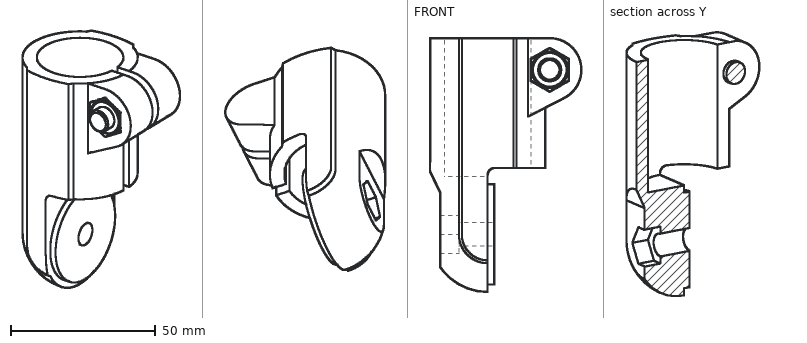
import cadquery as cq
import math

TUBE_RADIUS = 20.0
BORE_RADIUS = 15.0
TUBE_TOP = 68.01
TUBE_BOTTOM = 23.0
BORE_FLOOR = 20.0
STEP_FILLET = 2.5

PAD_HEIGHT = 20.02
PAD_TOP_HALF = 9.0
PAD_CROWN = 1.15
PAD_SHOULDER = PAD_HEIGHT - PAD_CROWN
PAD_FOOT_HALF = 10.0
PAD_FOOT = math.sqrt(TUBE_RADIUS**2 - PAD_FOOT_HALF**2)

DISC_DIAMETER = 34.8
DISC_THICKNESS = 2.3
PIVOT_HOLE_DIAMETER = 8.1

FLAT_X = -16.5
FLAT_TOP = 14.5
FLAT_RAMP_TOP = 21.8

LUG_RADIUS = 11.012
LUG_X = 21.47
LUG_Z = 57.0
LUG_TOP = 68.0
LUG_NOSE_START_X = LUG_X + math.sqrt(LUG_RADIUS**2 - (LUG_TOP - LUG_Z)**2)
LUG_HALF_WIDTH = 14.35
LUG_ROOT_X = math.sqrt(TUBE_RADIUS**2 - LUG_HALF_WIDTH**2)
LUG_ROOT_Z = 40.8
SLOT_WIDTH = 3.3

HEX_POCKET_FLATS = 13.2
HEX_POCKET_DEPTH = 6.5

NUT_FLATS = 13.0
NUT_FACE_DIAMETER = 11.7
NUT_COLLAR_DIAMETER = 12.6
NUT_FACE_CHAMFER = (NUT_COLLAR_DIAMETER - NUT_FACE_DIAMETER) / 2
NUT_COLLAR_HEIGHT = 2.0
NUT_SHOULDER_ANGLE = 20.0
NUT_FACE_Y = -14.45
BOLT_DIAMETER = 8.0
BOLT_TIP_Y = -18.6
BOLT_CHAMFER = 0.6


def hex_corners(flats):
    """Corner-to-corner size of a hexagon given its size across flats."""
    return flats / math.cos(math.pi / 6)


def half_section(side):
    """Half of the tube section on one side of X = 0: a half circle with half a crowned pad at each end."""
    crown_radius = (PAD_TOP_HALF**2 + PAD_CROWN**2) / (2 * PAD_CROWN)
    crown_mid_x = side * PAD_TOP_HALF / 2
    crown_mid_y = PAD_HEIGHT - crown_radius + math.sqrt(crown_radius**2 - crown_mid_x**2)
    top_x = side * PAD_TOP_HALF
    foot_x = side * PAD_FOOT_HALF
    return (
        cq.Workplane("XY")
        .moveTo(0, PAD_HEIGHT)
        .threePointArc((crown_mid_x, crown_mid_y), (top_x, PAD_SHOULDER))
        .lineTo(foot_x, PAD_FOOT)
        .threePointArc((side * TUBE_RADIUS, 0), (foot_x, -PAD_FOOT))
        .lineTo(top_x, -PAD_SHOULDER)
        .threePointArc((crown_mid_x, -crown_mid_y), (0, -PAD_HEIGHT))
        .close()
    )


def outer_body():
    """Both halves of the tube over its full height, closed below by the rounded end."""
    back = half_section(-1).extrude(TUBE_TOP)
    front = half_section(1).extrude(TUBE_TOP)
    end = half_section(-1).revolve(360, (0, 0, 0), (0, 1, 0))
    return back.union(front).union(end)


def front_cutaway():
    """Space removed in front of the joint face, below the lower rim of the tube."""
    reach = 2 * TUBE_RADIUS
    return (
        cq.Workplane("XZ")
        .moveTo(0, -reach)
        .lineTo(reach, -reach)
        .lineTo(reach, TUBE_BOTTOM)
        .lineTo(STEP_FILLET, TUBE_BOTTOM)
        .radiusArc((0, TUBE_BOTTOM - STEP_FILLET), -STEP_FILLET)
        .close()
        .extrude(reach, both=True)
    )


def back_cutaway():
    """Space removed behind the flat, with a ramp running out to the tube surface."""
    reach = 2 * TUBE_RADIUS
    return (
        cq.Workplane("XZ")
        .moveTo(FLAT_X, -reach)
        .lineTo(FLAT_X, FLAT_TOP)
        .lineTo(-TUBE_RADIUS, FLAT_RAMP_TOP)
        .lineTo(-reach, FLAT_RAMP_TOP)
        .lineTo(-reach, -reach)
        .close()
        .extrude(reach, both=True)
    )


def joint_disc():
    """Round disc raised on the joint face."""
    return cq.Workplane("YZ").circle(DISC_DIAMETER / 2).extrude(DISC_THICKNESS)


def pivot_hole():
    """Through hole along X with a hexagonal pocket sunk into the flat."""
    hole = cq.Workplane("YZ").circle(PIVOT_HOLE_DIAMETER / 2).extrude(2 * TUBE_RADIUS, both=True)
    pocket = (
        cq.Workplane("YZ", origin=(FLAT_X, 0, 0))
        .polygon(6, hex_corners(HEX_POCKET_FLATS))
        .extrude(HEX_POCKET_DEPTH)
    )
    return hole.union(pocket)


def clamp_lugs():
    """Both lugs as one block: a round nose with a straight lower edge tangent to it."""
    root_dx = LUG_X - LUG_ROOT_X
    root_dz = LUG_Z - LUG_ROOT_Z
    tangent_angle = math.atan2(-root_dz, -root_dx) + math.acos(LUG_RADIUS / math.hypot(root_dx, root_dz))
    tangent_x = LUG_X + LUG_RADIUS * math.cos(tangent_angle)
    tangent_z = LUG_Z + LUG_RADIUS * math.sin(tangent_angle)
    return (
        cq.Workplane("XZ")
        .moveTo(LUG_ROOT_X, LUG_ROOT_Z)
        .lineTo(tangent_x, tangent_z)
        .threePointArc((LUG_X + LUG_RADIUS, LUG_Z), (LUG_NOSE_START_X, LUG_TOP))
        .lineTo(LUG_ROOT_X, LUG_TOP)
        .close()
        .extrude(LUG_HALF_WIDTH, both=True)
    )


def bore():
    """Blind round bore down the tube."""
    return (
        cq.Workplane("XY", origin=(0, 0, BORE_FLOOR))
        .circle(BORE_RADIUS)
        .extrude(TUBE_TOP - BORE_FLOOR)
    )


def clamp_slot():
    """Slot along X that splits the front of the tube and separates the lugs."""
    length = LUG_X + LUG_RADIUS
    height = TUBE_TOP - TUBE_BOTTOM
    return (
        cq.Workplane("XY", origin=(0, 0, TUBE_BOTTOM))
        .box(length, SLOT_WIDTH, height, centered=(False, True, False))
    )


def hex_prism(flats, front_y, depth):
    """Hexagonal prism on the bolt axis, corners up and down, running toward +Y from front_y."""
    return (
        cq.Workplane("XZ", origin=(LUG_X, front_y, LUG_Z))
        .transformed(rotate=(0, 0, 90))
        .polygon(6, hex_corners(flats))
        .extrude(-depth)
    )


def clamp_nut():
    """Hexagonal nut seated on the pocket floor, with a round collar above a conical shoulder."""
    height = HEX_POCKET_DEPTH - LUG_HALF_WIDTH - NUT_FACE_Y
    face_radius = NUT_FACE_DIAMETER / 2
    collar_radius = NUT_COLLAR_DIAMETER / 2
    corner_radius = hex_corners(NUT_FLATS) / 2
    shoulder_drop = (corner_radius - collar_radius) * math.tan(math.radians(NUT_SHOULDER_ANGLE))
    envelope = (
        cq.Workplane("XY")
        .lineTo(face_radius, 0)
        .lineTo(collar_radius, NUT_FACE_CHAMFER)
        .lineTo(collar_radius, NUT_COLLAR_HEIGHT)
        .lineTo(corner_radius, NUT_COLLAR_HEIGHT + shoulder_drop)
        .lineTo(corner_radius, height)
        .lineTo(0, height)
        .close()
        .revolve(360, (0, 0, 0), (0, 1, 0))
        .translate((LUG_X, NUT_FACE_Y, LUG_Z))
    )
    return hex_prism(NUT_FLATS, NUT_FACE_Y, height).intersect(envelope)


def clamp_bolt():
    """Bolt shank from its chamfered tip to the far face of the lugs."""
    return (
        cq.Workplane("XZ", origin=(LUG_X, BOLT_TIP_Y, LUG_Z))
        .circle(BOLT_DIAMETER / 2)
        .extrude(BOLT_TIP_Y - LUG_HALF_WIDTH)
        .faces("<Y")
        .chamfer(BOLT_CHAMFER)
    )


result = (
    outer_body()
    .cut(front_cutaway())
    .cut(back_cutaway())
    .union(joint_disc())
    .union(clamp_lugs())
    .cut(bore())
    .cut(clamp_slot())
    .cut(pivot_hole())
    .cut(hex_prism(HEX_POCKET_FLATS, -LUG_HALF_WIDTH, HEX_POCKET_DEPTH))
    .union(clamp_nut())
    .union(clamp_bolt())
)